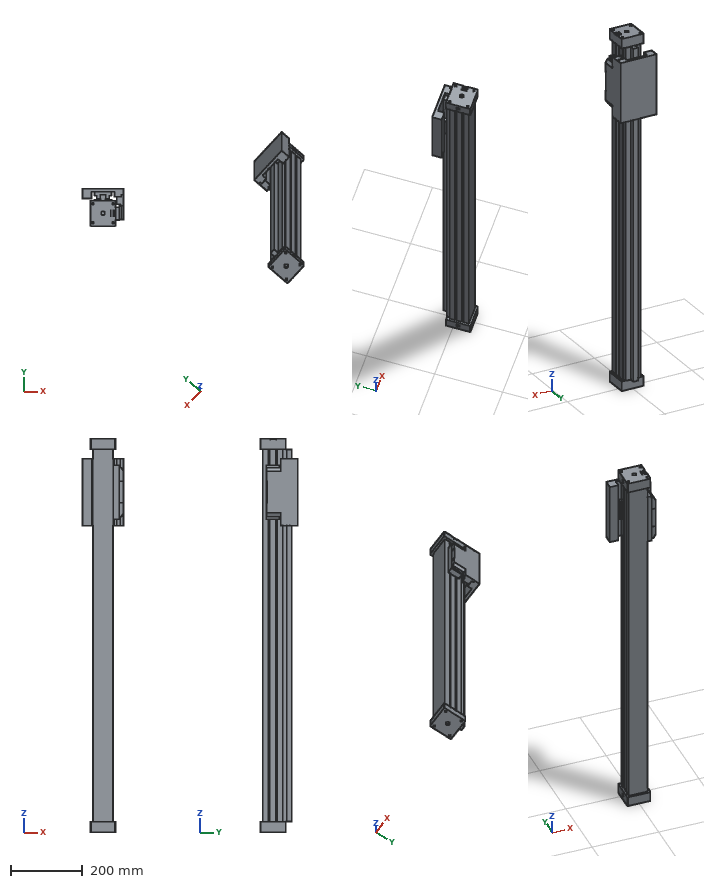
import cadquery as cq

total_length = 1100.0
cap_width = 70.0
cap_depth = 72.0
cap_thickness = 30.0
cap_half = cap_width / 2
cap_half_depth = cap_depth / 2
profile_length = total_length - 2 * cap_thickness
carriage_width = 115.0
overall_depth = 105.0
carriage_top_y = overall_depth - cap_half_depth

cap_chamfer = 2.0
corner_hole_diameter = 4.92
corner_hole_spacing_x = 56.0
corner_hole_spacing_y = 53.0
corner_hole_depth = 15.0
centre_hole_diameter = 11.0
centre_hole_depth = 10.0
hole_centre_y = 0.5
side_hole_diameter = 10.0
side_hole_depth = 10.0
slit_x = 21.5
slit_width = 1.0
slit_depth = 2.0
recess_inner_x = 28.0
recess_step_x = 31.5
recess_depth = 6.0
recess_step_depth = 2.0
recess_width = 16.0

profile_width = 57.0
profile_top_y = 37.5
profile_bottom_y = -29.5
groove_offset = 10.0
groove_centre_y = -1.0
groove_width = 4.5
groove_depth = 5.0
ledge_y = 27.0
ledge_depth = 4.5
rail_width = 15.0
rail_height = 15.0

carriage_length = 188.0
carriage_end_gap = 55.5
carriage_centre_z = total_length / 2 - carriage_end_gap - carriage_length / 2
plate_thickness = 9.0
left_leg_depth = 28.0
right_leg_depth = 23.0
leg_gap = 64.0

block_length = 60.0
block_width = 48.0
block_flange = 11.0
block_chamfer = 2.0
block_body_width = 36.0
block_clearance = 3.0
block_bottom_y = profile_top_y + block_clearance

bracket_end_setback = 0.5
bracket_shoulder_x = 51.5
bracket_shoulder_height = 6.5
bracket_inner_x = 38.0
bracket_lip_x = 31.5
bracket_lip_y = 27.0
bracket_lip_thickness = 2.0
bracket_step_x = 48.5
bracket_bottom_y = 21.0

reader_length = 152.0
reader_inner_x = 29.0
reader_outer_x = 45.0
reader_top_y = 17.5
reader_bottom_y = -18.5
cover_setback = 1.0
cover_bottom_y = reader_bottom_y + cover_setback

cover_length = 138.0
cover_shoulder_x = 51.0
cover_slope = 11.0
cover_panel_length = 60.0
cover_panel_depth = 0.5


def box(x_range, y_range, z_range):
    """Axis-aligned block between the given limits."""
    (x0, x1), (y0, y1), (z0, z1) = x_range, y_range, z_range
    return cq.Workplane("XY").box(x1 - x0, y1 - y0, z1 - z0, centered=False).translate((x0, y0, z0))


def cap_blank():
    """End cap lying from Z = 0 up, outer face on top, with its holes."""
    cap = box((-cap_half, cap_half), (-cap_half_depth, cap_half_depth), (0, cap_thickness))
    cap = cap.edges("|Z and <Y").chamfer(cap_chamfer)
    outer_face_centre = (0, hole_centre_y, cap_thickness)
    cap = (
        cap.faces(">Z").workplane(origin=outer_face_centre)
        .rect(corner_hole_spacing_x, corner_hole_spacing_y, forConstruction=True)
        .vertices().hole(corner_hole_diameter, corner_hole_depth)
    )
    cap = cap.faces(">Z").workplane(origin=outer_face_centre).hole(centre_hole_diameter, centre_hole_depth)
    side_hole = (
        cq.Workplane("YZ", origin=(-cap_half, hole_centre_y, cap_thickness / 2))
        .circle(side_hole_diameter / 2).extrude(side_hole_depth)
    )
    return cap.cut(side_hole)


def top_cap():
    """Upper cap, with a slit and a stepped recess that opens on the +X side."""
    cap = cap_blank()
    across = (hole_centre_y - recess_width / 2, hole_centre_y + recess_width / 2)
    slit = box(
        (slit_x - slit_width / 2, slit_x + slit_width / 2), across,
        (cap_thickness - slit_depth, cap_thickness),
    )
    recess = box((recess_inner_x, recess_step_x), across, (cap_thickness - recess_depth, cap_thickness))
    step = box((recess_step_x, cap_half), across, (cap_thickness - recess_step_depth, cap_thickness))
    return cap.cut(slit).cut(recess).cut(step).translate((0, 0, profile_length / 2))


def bottom_cap():
    """Lower cap, the plain mirror image."""
    cap = cap_blank().mirror("XY")
    return cap.translate((0, 0, -profile_length / 2))


def profile():
    """Extruded beam with two grooves and a set-back ledge along each side."""
    half = profile_width / 2
    z_range = (-profile_length / 2, profile_length / 2)
    body = box((-half, half), (profile_bottom_y, profile_top_y), z_range)
    for side in (-1, 1):
        outer = side * half
        for y in (groove_centre_y - groove_offset, groove_centre_y + groove_offset):
            inner = outer - side * groove_depth
            groove = box(
                (min(inner, outer), max(inner, outer)),
                (y - groove_width / 2, y + groove_width / 2), z_range,
            )
            body = body.cut(groove)
        inner = outer - side * ledge_depth
        ledge = box((min(inner, outer), max(inner, outer)), (ledge_y, profile_top_y), z_range)
        body = body.cut(ledge)
    return body


def rail():
    """Guide rail on the +Y face of the beam."""
    half = rail_width / 2
    return box(
        (-half, half), (profile_top_y, profile_top_y + rail_height),
        (-profile_length / 2, profile_length / 2),
    )


def carriage_box(x_range, y_range, length):
    """Block centred along the length of the carriage."""
    return box(x_range, y_range, (carriage_centre_z - length / 2, carriage_centre_z + length / 2))


def carriage_plate():
    """Table plate with a leg along each side of the rail."""
    half = carriage_width / 2
    gap = leg_gap / 2
    plate_under = carriage_top_y - plate_thickness
    plate = carriage_box((-half, half), (plate_under, carriage_top_y), carriage_length)
    left = carriage_box((-half, -gap), (carriage_top_y - left_leg_depth, plate_under), carriage_length)
    right = carriage_box((gap, half), (carriage_top_y - right_leg_depth, plate_under), carriage_length)
    shoulder_y = carriage_top_y - right_leg_depth
    shoulder = carriage_box(
        (bracket_shoulder_x, half), (shoulder_y, shoulder_y + bracket_shoulder_height), carriage_length
    )
    return plate.union(left).union(right.cut(shoulder))


def guide_block():
    """Flanged block that straddles the rail."""
    top = carriage_top_y - plate_thickness
    flange = carriage_box((-block_width / 2, block_width / 2), (top - block_flange, top), block_length)
    flange = flange.edges("|Z and <Y").chamfer(block_chamfer)
    body = carriage_box((-block_body_width / 2, block_body_width / 2), (block_bottom_y, top), block_length)
    channel_half = rail_width / 2
    channel = carriage_box(
        (-channel_half, channel_half), (block_bottom_y, profile_top_y + rail_height), block_length
    )
    return flange.union(body).cut(channel)


def bracket():
    """Bracket below the right leg, with a lip towards the beam and a deeper outer edge."""
    half = carriage_width / 2
    length = carriage_length - 2 * bracket_end_setback
    top = carriage_top_y - right_leg_depth
    lip_bottom = bracket_lip_y - bracket_lip_thickness
    web = carriage_box((bracket_inner_x, half), (lip_bottom, top), length)
    lip = carriage_box((bracket_lip_x, half), (lip_bottom, bracket_lip_y), length)
    edge = carriage_box((bracket_step_x, half), (bracket_bottom_y, top), length)
    shoulder = carriage_box((bracket_shoulder_x, half), (top, top + bracket_shoulder_height), length)
    return web.union(lip).union(edge).union(shoulder)


def reader():
    """Flat box beside the beam."""
    return carriage_box((reader_inner_x, reader_outer_x), (reader_bottom_y, reader_top_y), reader_length)


def cover():
    """Cover outside the reader box, with sloped ends and a shallow front panel."""
    half = carriage_width / 2
    base = cover_length / 2
    tip = base - cover_slope
    body = (
        cq.Workplane("XZ", origin=(0, bracket_bottom_y, carriage_centre_z))
        .polyline([
            (reader_outer_x, -base), (cover_shoulder_x, -base), (half, -tip),
            (half, tip), (cover_shoulder_x, base), (reader_outer_x, base),
        ])
        .close().extrude(bracket_bottom_y - cover_bottom_y)
    )
    panel = carriage_box(
        (reader_outer_x, half), (cover_bottom_y, cover_bottom_y + cover_panel_depth), cover_panel_length
    )
    return body.cut(panel)


base_body = profile().union(rail()).union(top_cap()).union(bottom_cap())
carriage_body = carriage_plate().union(guide_block()).union(bracket()).union(reader()).union(cover())

result = cq.Compound.makeCompound([base_body.val(), carriage_body.val()])